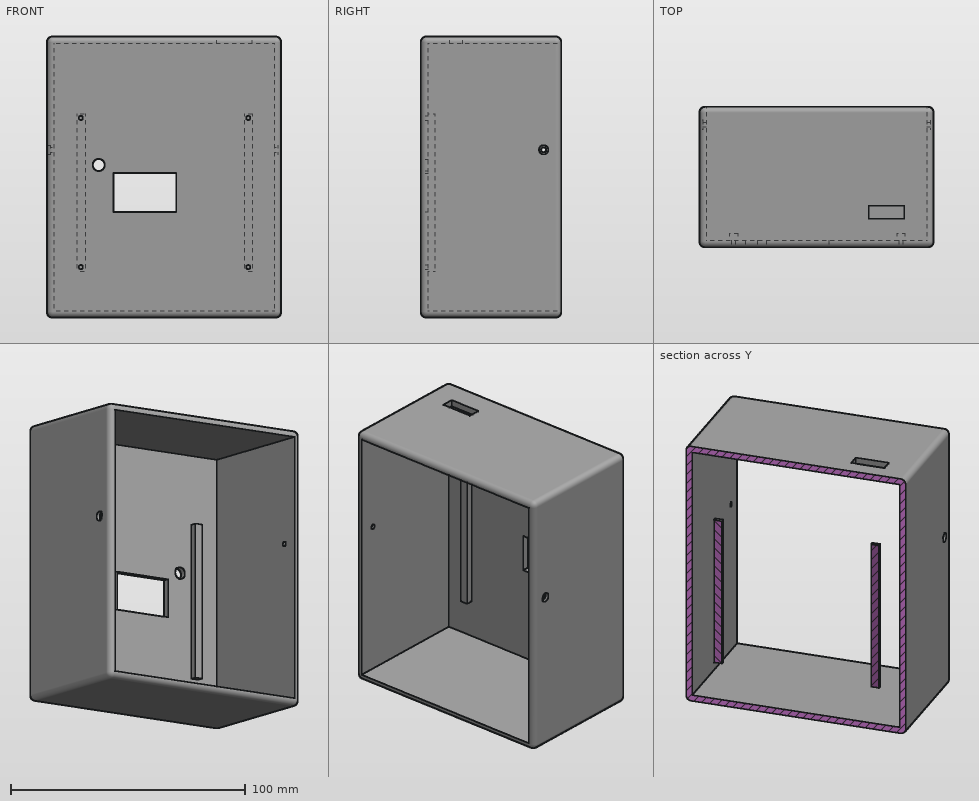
import cadquery as cq

height = 120.0
width = height * 5 / 6
depth = height / 2
wall = 3.0
edge_radius = height / 48
front_y = -depth / 2

window_width = 26.6
window_height = 16.5
window_x = -8.2
window_z = -6.6
round_hole_diameter = 5.0
round_hole_x = -27.8
round_hole_z = 5.2

slot_length = 15.0
slot_width = 5.5
slot_x = 29.9
slot_y = -15.0

side_hole_diameter = 2.0
counterbore_diameter = 4.0
counterbore_depth = wall / 2
side_hole_y = depth / 2 - 7.5
side_hole_z = 11.6

peg_diameter = 1.8
peg_spacing_x = 71.4
peg_spacing_z = 63.6
peg_center_x = 0.2
peg_center_z = -6.6
rail_width = 2 * peg_diameter
rail_thickness = wall
rail_length = peg_spacing_z + rail_width
rail_positions = [peg_center_x + side * peg_spacing_x / 2 for side in (-1, 1)]


def make_peg_pair(rail_x):
    """Two pegs of one rail, spanning the thickness of the front wall."""
    return (
        cq.Workplane("XZ", origin=(rail_x, front_y, peg_center_z))
        .rarray(1.2, peg_spacing_z, 1, 2)
        .circle(peg_diameter / 2)
        .extrude(-wall)
    )


def make_rail(rail_x):
    """Upright bar against the inside of the front wall, with its two pegs."""
    bar_y = front_y + wall + rail_thickness / 2
    bar = cq.Workplane("XY").box(rail_width, rail_thickness, rail_length)
    return bar.translate((rail_x, bar_y, peg_center_z)).union(make_peg_pair(rail_x))


def make_shell():
    """Rounded box whose cavity leaves a front wall and runs out through the back."""
    block = cq.Workplane("XY").box(width, depth, height).edges().fillet(edge_radius)
    cavity = cq.Workplane("XY").box(width - 2 * wall, depth, height - 2 * wall)
    return block.cut(cavity.translate((0, wall, 0)))


def cut_front_openings(shell):
    """Window, round hole and peg holes through the front wall."""
    window = cq.Workplane("XY").box(window_width, 2 * wall, window_height)
    round_hole = (
        cq.Workplane("XZ", origin=(round_hole_x, front_y, round_hole_z))
        .circle(round_hole_diameter / 2)
        .extrude(-wall)
    )
    shell = shell.cut(window.translate((window_x, front_y, window_z))).cut(round_hole)
    for rail_x in rail_positions:
        shell = shell.cut(make_peg_pair(rail_x))
    return shell


def cut_top_slot(shell):
    """Slot through the top wall."""
    slot = cq.Workplane("XY").box(slot_length, slot_width, 2 * wall)
    return shell.cut(slot.translate((slot_x, slot_y, height / 2)))


def cut_side_holes(shell):
    """Hole through each side wall, counterbored from the outside."""
    for side in (-1, 1):
        outer_face = cq.Workplane("YZ", origin=(side * width / 2, side_hole_y, side_hole_z))
        shell = shell.cut(outer_face.circle(side_hole_diameter / 2).extrude(-side * wall))
        shell = shell.cut(outer_face.circle(counterbore_diameter / 2).extrude(-side * counterbore_depth))
    return shell


housing = cut_side_holes(cut_top_slot(cut_front_openings(make_shell())))
rails = [make_rail(rail_x) for rail_x in rail_positions]

result = cq.Compound.makeCompound([housing.val(), *[rail.val() for rail in rails]])